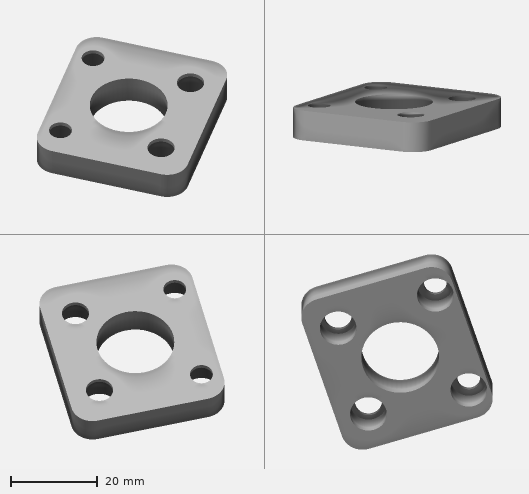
import cadquery as cq

width = 36.3
length = 40.0
thickness = 7.0
corner_radius = 4.95

bore_diameter = 18.0
bore_x = -0.8
small_hole_diameter = 5.3
small_hole_x = -13.35
small_hole_y = 12.7
large_hole_diameter = 6.3
large_hole_x = 10.6
large_hole_y = 11.5

counterbore_diameter = 8.5
web_thickness = 1.0
counterbore_depth = thickness - web_thickness


def drill_pair(body, diameter, x, y):
    """Drill two holes mirrored about the X axis, counterbored from the underside."""
    underside = body.faces("<Z").workplane(origin=(0, 0, 0))
    return underside.pushPoints([(x, -y), (x, y)]).cboreHole(diameter, counterbore_diameter, counterbore_depth)


plate = cq.Workplane("XY").box(width, length, thickness).edges("|Z").fillet(corner_radius)
plate = plate.faces(">Z").workplane(origin=(0, 0, 0)).center(bore_x, 0).hole(bore_diameter)
plate = drill_pair(plate, small_hole_diameter, small_hole_x, small_hole_y)
result = drill_pair(plate, large_hole_diameter, large_hole_x, large_hole_y)